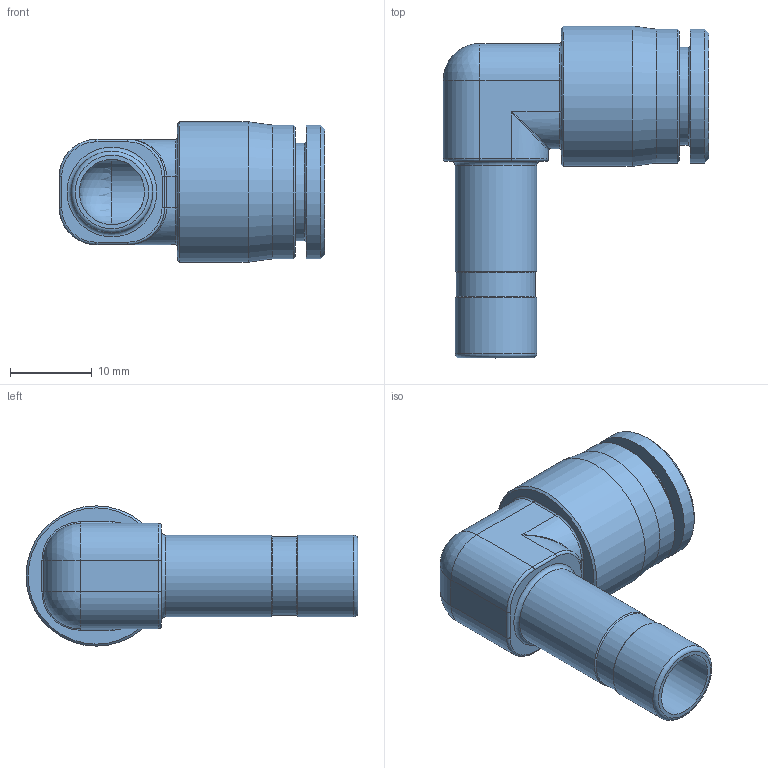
import cadquery as cq

ELBOW_HALF_WIDTH = 6.45
ELBOW_CORNER_RADIUS = 4.5
ARM_REACH = 8.0
STEM_ARM_EDGE_RADIUS = 0.3
SLEEVE_ROOT_RADIUS = 0.2
MITRE_RADIUS = 0.25

SLEEVE_RADIUS = 8.6
SLEEVE_END_RADIUS = 8.2
SLEEVE_TAPER_START_X = 16.7
SLEEVE_TAPER_END_X = 19.65
SLEEVE_END_X = 22.5
SLEEVE_CHAMFER = 0.25

COLLAR_NECK_RADIUS = 6.0
COLLAR_NECK_FLARE = 0.25
COLLAR_FLANGE_RADIUS = SLEEVE_END_RADIUS
COLLAR_FLANGE_X = 23.85
COLLAR_END_X = 26.1
COLLAR_CHAMFER = 0.5

STEM_RADIUS = 5.0
STEM_END = 32.1
STEM_ROOT_RADIUS = 0.5
STEM_END_RADIUS = 0.5
GROOVE_START = 21.47
GROOVE_END = 24.72
GROOVE_DEPTH = 0.15

BORE_RADIUS = 4.0


def make_elbow():
    """Two rounded arms: a narrowly filleted mitre inside, a spherical-cornered bend outside."""
    width = 2 * ELBOW_HALF_WIDTH
    length = ELBOW_HALF_WIDTH + ARM_REACH
    shift = (ARM_REACH - ELBOW_HALF_WIDTH) / 2
    sleeve_arm = cq.Workplane("XY").box(length, width, width).translate((shift, 0, 0))
    stem_arm = cq.Workplane("XY").box(width, length, width).translate((0, -shift, 0))
    sleeve_arm = sleeve_arm.edges("|X or <X").fillet(ELBOW_CORNER_RADIUS)
    stem_arm = stem_arm.edges("|Y or >Y").fillet(ELBOW_CORNER_RADIUS)
    stem_arm = stem_arm.faces("<Y").edges().fillet(STEM_ARM_EDGE_RADIUS)
    elbow = sleeve_arm.union(stem_arm)
    inner_edge = cq.NearestToPointSelector((ELBOW_HALF_WIDTH, -ELBOW_HALF_WIDTH, 0))
    return elbow.edges(inner_edge).fillet(MITRE_RADIUS)


def make_sleeve_and_collar():
    """Stepped round body along +X: sleeve, taper, collar neck and collar flange."""
    profile = (
        cq.Workplane("XY")
        .moveTo(ARM_REACH, 0)
        .lineTo(ARM_REACH, SLEEVE_RADIUS - SLEEVE_CHAMFER)
        .lineTo(ARM_REACH + SLEEVE_CHAMFER, SLEEVE_RADIUS)
        .lineTo(SLEEVE_TAPER_START_X, SLEEVE_RADIUS)
        .lineTo(SLEEVE_TAPER_END_X, SLEEVE_END_RADIUS)
        .lineTo(SLEEVE_END_X - SLEEVE_CHAMFER, SLEEVE_END_RADIUS)
        .lineTo(SLEEVE_END_X, SLEEVE_END_RADIUS - SLEEVE_CHAMFER)
        .lineTo(SLEEVE_END_X, COLLAR_NECK_RADIUS)
        .lineTo(COLLAR_FLANGE_X - COLLAR_NECK_FLARE, COLLAR_NECK_RADIUS)
        .lineTo(COLLAR_FLANGE_X, COLLAR_NECK_RADIUS + COLLAR_NECK_FLARE)
        .lineTo(COLLAR_FLANGE_X, COLLAR_FLANGE_RADIUS)
        .lineTo(COLLAR_END_X - COLLAR_CHAMFER, COLLAR_FLANGE_RADIUS)
        .lineTo(COLLAR_END_X, COLLAR_FLANGE_RADIUS - COLLAR_CHAMFER)
        .lineTo(COLLAR_END_X, 0)
        .close()
    )
    return profile.revolve(360, (0, 0, 0), (1, 0, 0))


def make_stem():
    """Tube body along -Y with a rounded tip and a shallow groove with sloped walls."""
    groove_radius = STEM_RADIUS - GROOVE_DEPTH
    profile = (
        cq.Workplane("XY")
        .moveTo(0, -ARM_REACH)
        .lineTo(STEM_RADIUS, -ARM_REACH)
        .lineTo(STEM_RADIUS, -GROOVE_START)
        .lineTo(groove_radius, -GROOVE_START - GROOVE_DEPTH)
        .lineTo(groove_radius, -GROOVE_END + GROOVE_DEPTH)
        .lineTo(STEM_RADIUS, -GROOVE_END)
        .lineTo(STEM_RADIUS, -STEM_END)
        .lineTo(0, -STEM_END)
        .close()
    )
    stem = profile.revolve(360, (0, 0, 0), (0, 1, 0))
    return stem.faces("<Y").edges().fillet(STEM_END_RADIUS)


def make_bore():
    """Passage along both axes, closed by a ball at the bend."""
    stem_bore = cq.Workplane("XZ").circle(BORE_RADIUS).extrude(STEM_END)
    sleeve_bore = cq.Workplane("YZ").circle(BORE_RADIUS).extrude(COLLAR_END_X)
    ball = cq.Workplane("XY").sphere(BORE_RADIUS)
    return stem_bore.union(sleeve_bore).union(ball)


def blend_root(body, face_centre, radius):
    """Fillet the inside edge of the flat ring face centred on the given point."""
    face = body.faces(cq.NearestToPointSelector(face_centre)).val()
    return body.newObject(face.innerWires()[0].Edges()).fillet(radius)


body = make_elbow().union(make_sleeve_and_collar()).union(make_stem())
body = blend_root(body, (ARM_REACH, 0, 0), SLEEVE_ROOT_RADIUS)
body = blend_root(body, (0, -ARM_REACH, 0), STEM_ROOT_RADIUS)
result = body.cut(make_bore())